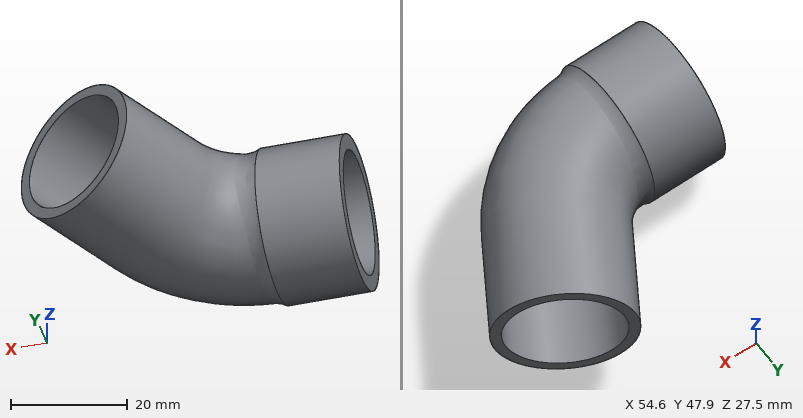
import cadquery as cq
import math

collar_diameter = 27.5
pipe_diameter = 26.05
bore_diameter = 22.0
collar_length = 14.95
bend_radius = 21.1
bend_angle = 58.5
outlet_length = 20.2
blend_radius = 4.35

collar_radius = collar_diameter / 2
blend_dip = 0.005
blend_root_radius = pipe_diameter / 2 - blend_dip
wall_middle_radius = (pipe_diameter + bore_diameter) / 4
blend_spans = 12
bisection_steps = 50


def swept_elbow(diameter):
    """Solid rod along the centreline: straight inlet, circular bend, straight outlet."""
    angle = math.radians(bend_angle)
    half_angle = angle / 2
    bend_middle = (
        collar_length + bend_radius * math.sin(half_angle),
        bend_radius * (1 - math.cos(half_angle)),
    )
    bend_end = (
        collar_length + bend_radius * math.sin(angle),
        bend_radius * (1 - math.cos(angle)),
    )
    outlet_end = (
        bend_end[0] + outlet_length * math.cos(angle),
        bend_end[1] + outlet_length * math.sin(angle),
    )
    centreline = (
        cq.Workplane("XY")
        .moveTo(0, 0)
        .lineTo(collar_length, 0)
        .threePointArc(bend_middle, bend_end)
        .lineTo(*outlet_end)
    )
    return cq.Workplane("YZ").circle(diameter / 2).sweep(centreline)


def collar():
    """Thicker inlet collar, as a solid rod along X."""
    return cq.Workplane("YZ").circle(collar_radius).extrude(collar_length)


def bend_tube_point(point):
    """Nearest point to the given point on the bend's circular centreline."""
    bend_center = cq.Vector(collar_length, bend_radius, 0)
    outward = cq.Vector(point.x, point.y, 0) - bend_center
    return bend_center + outward.normalized() * bend_radius


def blend_section(around):
    """Wire through the blend at an angle around X: concave arc outside, buried in the wall inside."""
    radial = cq.Vector(0, math.cos(around), math.sin(around))
    rim = cq.Vector(collar_length, 0, 0) + radial * collar_radius

    least_tilt = 0
    greatest_tilt = math.pi / 2
    for _ in range(bisection_steps):
        tilt = (least_tilt + greatest_tilt) / 2
        ball = rim + (cq.Vector(math.sin(tilt), 0, 0) + radial * math.cos(tilt)) * blend_radius
        tube_center = bend_tube_point(ball)
        if (ball - tube_center).Length > blend_root_radius + blend_radius:
            least_tilt = tilt
        else:
            greatest_tilt = tilt

    tube_outward = (ball - tube_center).normalized()
    contact = tube_center + tube_outward * blend_root_radius
    chord_middle = (rim + contact) * 0.5
    arc_middle = ball + (chord_middle - ball).normalized() * blend_radius
    inner_contact = tube_center + tube_outward * wall_middle_radius
    inner_rim = cq.Vector(collar_length, 0, 0) + radial * wall_middle_radius
    return cq.Wire.assembleEdges(
        [
            cq.Edge.makeThreePointArc(rim, arc_middle, contact),
            cq.Edge.makeLine(contact, inner_contact),
            cq.Edge.makeLine(inner_contact, inner_rim),
            cq.Edge.makeLine(inner_rim, rim),
        ]
    )


def collar_blend():
    """Rolling-ball blend from the collar rim to the bend, lofted over one half and mirrored."""
    sections = [blend_section(math.pi * i / blend_spans) for i in range(blend_spans + 1)]
    upper_half = cq.Workplane(cq.Solid.makeLoft(sections))
    return upper_half.union(upper_half.mirror("XY"))


outside = swept_elbow(pipe_diameter).union(collar()).union(collar_blend())
result = outside.cut(swept_elbow(bore_diameter))